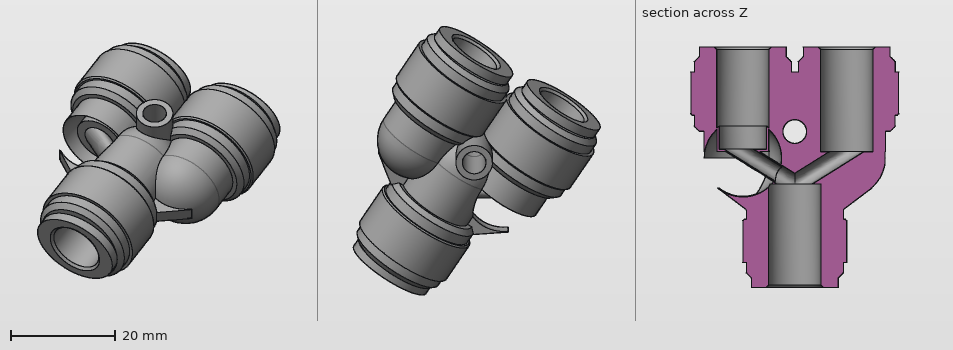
import cadquery as cq


branch_offset = 9.965
branch_mouth_y = 21.35
leg_mouth_y = -24.85

collet_half_width = 8.35
collet_half_height = 7.1
collet_length = 1.85
end_chamfer = 1.0
ring_radius = 9.35
front_ring_length = 2.95
grip_radius = 10.0
grip_end = 13.15
grip_chamfer = 0.3
collar_end = 16.2
tube_radius = 7.45

socket_radius = 5.0
mouth_radius = 5.5
lead_in_depth = 0.5
branch_floor_y = 1.25
leg_floor_y = -5.0
bore_radius = 3.28
bore_overrun = 0.9
liner_wall = 0.5

cavity_rim = 0.03
cavity_radius = tube_radius - cavity_rim
liner_overlap = 0.25

boss_y = 5.1
boss_radius = 3.5
boss_hole_radius = 2.25

rib_thickness = 2.6
rib_foot_y = -9.85
rib_tip_x = 14.8
rib_tip_y = -5.75
rib_top_y = -5.0


def y_cylinder(radius, x, y_start, y_end):
    """Cylinder parallel to Y between two Y positions."""
    return cq.Workplane("XZ", origin=(x, y_start, 0)).circle(radius).extrude(y_start - y_end)


def ball(radius, x):
    """Ball centred on the elbow line, with its poles along Y."""
    return cq.Workplane("XZ").sphere(radius).translate((x, 0, 0))


def port_collar(x, mouth_y, inward):
    """Stepped round collar and its oval collet; inward is +1 or -1 along Y."""
    front_ring_start = collet_length
    grip_start = front_ring_start + front_ring_length
    outline = [
        (0, front_ring_start),
        (ring_radius - end_chamfer, front_ring_start),
        (ring_radius, front_ring_start + end_chamfer),
        (ring_radius, grip_start),
        (grip_radius, grip_start),
        (grip_radius, grip_end - grip_chamfer),
        (grip_radius - grip_chamfer, grip_end),
        (ring_radius, grip_end),
        (ring_radius, collar_end - end_chamfer),
        (ring_radius - end_chamfer, collar_end),
        (0, collar_end),
    ]
    points = [(x + radius, mouth_y + inward * depth) for radius, depth in outline]
    rings = cq.Workplane("XY").polyline(points).close().revolve(360, (x, 0), (x, 1))
    collet = (
        cq.Workplane("XZ", origin=(x, mouth_y, 0))
        .ellipse(collet_half_width, collet_half_height)
        .extrude(-inward * grip_start)
    )
    return rings.union(collet)


def socket(x, mouth_y, inward, floor_y, wall=0):
    """Tube socket with a lead-in cone, reduced on all sides by a wall."""
    radius = socket_radius - wall
    depth = abs(floor_y - mouth_y) - wall
    outline = [
        (0, 0),
        (mouth_radius, 0),
        (radius, lead_in_depth),
        (radius, depth),
        (0, depth),
    ]
    points = [(x + r, mouth_y + inward * d) for r, d in outline]
    return cq.Workplane("XY").polyline(points).close().revolve(360, (x, 0), (x, 1))


def bore(side, wall=0):
    """Slanted bore between the branch and leg socket floors.

    Its sections across Y are round, and it ends at the YZ plane where both bores meet.
    """
    drop = branch_floor_y - leg_floor_y
    run = side * branch_offset
    overrun_x = run / drop * bore_overrun
    radius = bore_radius - wall
    slant = (
        cq.Workplane("XZ", origin=(run + overrun_x, branch_floor_y + bore_overrun, 0))
        .circle(radius)
        .workplane(offset=drop + 2 * bore_overrun)
        .center(-run - 2 * overrun_x, 0)
        .circle(radius)
        .loft(ruled=True)
    )
    side_block_size = 4 * branch_offset
    side_block = cq.Workplane("XY").box(side_block_size, side_block_size, side_block_size)
    return slant.intersect(side_block.translate((side * side_block_size / 2, 0, 0)))


def branch_passage(side, wall=0):
    """Branch socket and the bore that joins it to the leg."""
    opening = socket(side * branch_offset, branch_mouth_y, -1, branch_floor_y, wall)
    return opening.union(bore(side, wall))


def liner():
    """Thin skin that carries the left passage through the open elbow."""
    envelope = ball(cavity_radius + liner_overlap, -branch_offset)
    return branch_passage(-1).intersect(envelope).cut(branch_passage(-1, liner_wall))


def rib(side):
    """Flat web from the leg collar out to an elbow."""
    points = [
        (0, rib_foot_y),
        (side * ring_radius, rib_foot_y),
        (side * rib_tip_x, rib_tip_y),
        (side * branch_offset, rib_top_y),
        (0, rib_top_y),
    ]
    return cq.Workplane("XY").polyline(points).close().extrude(rib_thickness / 2, both=True)


def boss(radius):
    """Round column along Z through the full height of the fitting."""
    return cq.Workplane("XY").center(0, boss_y).circle(radius).extrude(grip_radius, both=True)


def outer_body():
    """Collars, tubes, rounded elbows, ribs and boss column, without openings."""
    body = y_cylinder(tube_radius, 0, leg_mouth_y + collar_end, 0)
    body = body.union(ball(tube_radius, 0)).union(port_collar(0, leg_mouth_y, 1))
    for side in (-1, 1):
        x = side * branch_offset
        body = body.union(y_cylinder(tube_radius, x, 0, branch_mouth_y - collar_end))
        body = body.union(port_collar(x, branch_mouth_y, -1))
        body = body.union(rib(side))
    body = body.union(ball(tube_radius, branch_offset))
    return body.union(boss(boss_radius))


result = outer_body()
result = result.cut(ball(cavity_radius, -branch_offset))
result = result.cut(socket(0, leg_mouth_y, 1, leg_floor_y))
result = result.cut(branch_passage(-1))
result = result.cut(branch_passage(1))
result = result.union(liner())
result = result.cut(boss(boss_hole_radius))